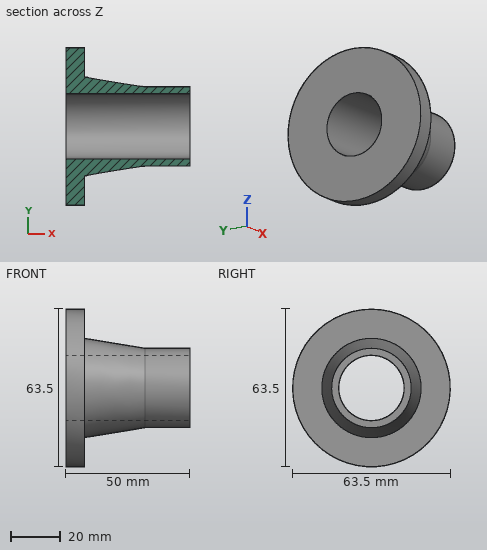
import cadquery as cq

overall_length = 50.04
flange_diameter = 63.5
flange_thickness = 7.62
neck_base_diameter = 40.0
spigot_diameter = 32.0
spigot_length = 18.1
bore_diameter = 26.21

neck_end = overall_length - spigot_length


def radial_half_section():
    """Half section from the axis outwards: flange, tapered neck and spigot."""
    return (
        cq.Workplane("XZ")
        .lineTo(0, flange_diameter / 2)
        .lineTo(flange_thickness, flange_diameter / 2)
        .lineTo(flange_thickness, neck_base_diameter / 2)
        .lineTo(neck_end, spigot_diameter / 2)
        .lineTo(overall_length, spigot_diameter / 2)
        .lineTo(overall_length, 0)
        .close()
    )


def axial_bore():
    """Cylinder that passes through the whole length."""
    return cq.Workplane("YZ").circle(bore_diameter / 2).extrude(overall_length)


body = radial_half_section().revolve(360, (0, 0, 0), (1, 0, 0))
result = body.cut(axial_bore())